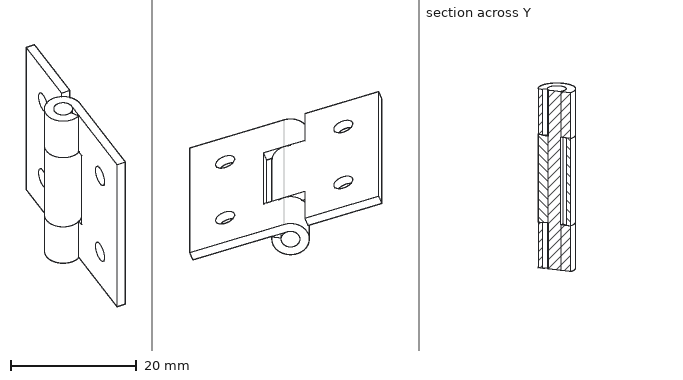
import cadquery as cq
import math

hinge_width = 32.0
hinge_height = 30.0
plate_thickness = 1.5
pin_radius = 1.5
knuckle_radius = pin_radius + plate_thickness
middle_knuckle_height = 14.6
knuckle_clearance = 0.5
curl_end_angle = 28.0

hole_diameter = 3.2
hole_offset_x = 10.0
hole_spacing_z = 16.0

half_width = hinge_width / 2
half_height = hinge_height / 2
half_middle = middle_knuckle_height / 2
notch_edge_x = knuckle_radius + knuckle_clearance


def polar(radius, degrees):
    """Point on a circle about the pin axis."""
    angle = math.radians(degrees)
    return (radius * math.cos(angle), radius * math.sin(angle))


def rolled_leaf():
    """Full-height leaf on the +X side: a flat plate whose inner edge curls around the pin."""
    curl_mid_angle = 225.0
    return (
        cq.Workplane("XY")
        .workplane(offset=-half_height)
        .moveTo(half_width, pin_radius)
        .lineTo(half_width, knuckle_radius)
        .lineTo(0, knuckle_radius)
        .threePointArc(polar(knuckle_radius, curl_mid_angle), polar(knuckle_radius, curl_end_angle))
        .lineTo(*polar(pin_radius, curl_end_angle))
        .threePointArc(polar(pin_radius, curl_mid_angle), (0, pin_radius))
        .close()
        .extrude(hinge_height)
    )


def knuckle_notch(bottom, top):
    """Block that clears the rolled edge of a leaf between two heights."""
    block_depth = 2 * knuckle_radius
    block_width = notch_edge_x + knuckle_radius
    return (
        cq.Workplane("XY")
        .box(block_width, block_depth, top - bottom, centered=(False, True, False))
        .translate((-knuckle_radius, 0, bottom))
    )


def drill_screw_holes(leaf):
    """Two plain screw holes through the plate."""
    drills = (
        cq.Workplane("XZ")
        .pushPoints([(hole_offset_x, side * hole_spacing_z / 2) for side in (-1, 1)])
        .circle(hole_diameter / 2)
        .extrude(-2 * knuckle_radius)
    )
    return leaf.cut(drills)


def outer_knuckle_leaf():
    """+X leaf with a knuckle at each end."""
    return drill_screw_holes(rolled_leaf().cut(knuckle_notch(-half_middle, half_middle)))


def middle_knuckle_leaf():
    """-X leaf with one middle knuckle, rolled as a mirror image."""
    leaf = rolled_leaf()
    leaf = leaf.cut(knuckle_notch(-half_height, -half_middle))
    leaf = leaf.cut(knuckle_notch(half_middle, half_height))
    return drill_screw_holes(leaf).mirror("YZ")


def hinge_pin():
    """Plain pin, flush with both ends of the leaves."""
    return cq.Workplane("XY").circle(pin_radius).extrude(hinge_height).translate((0, 0, -half_height))


right_leaf = outer_knuckle_leaf()
left_leaf = middle_knuckle_leaf()
pin = hinge_pin()

result = cq.Compound.makeCompound([right_leaf.solids().val(), left_leaf.solids().val(), pin.val()])